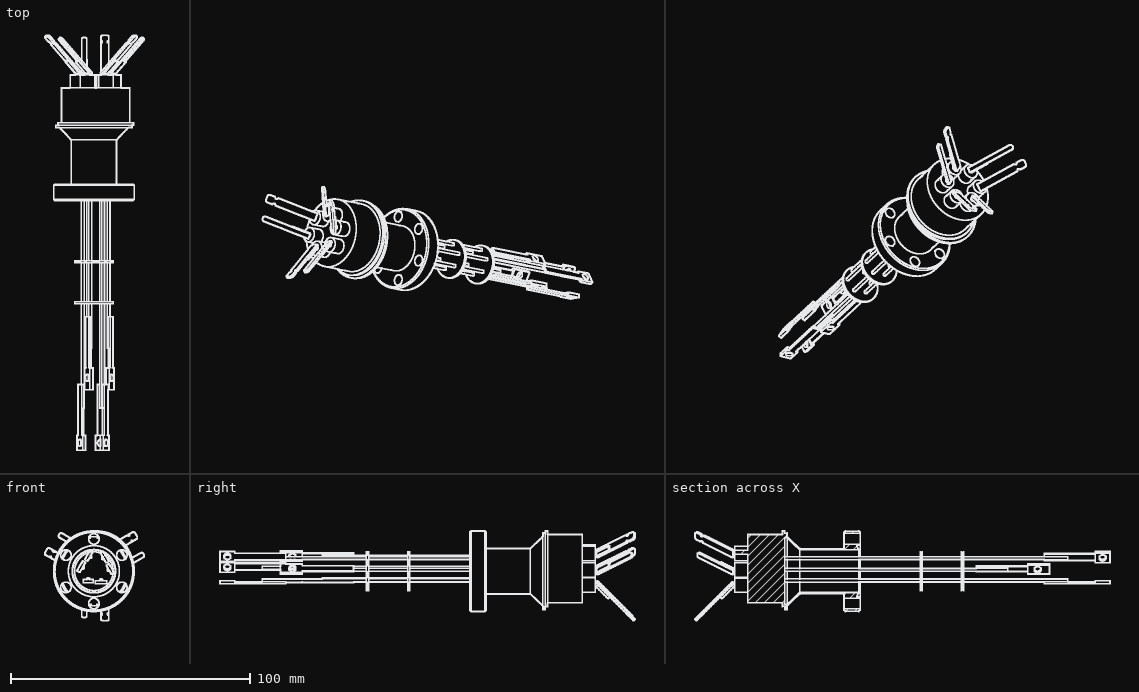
import cadquery as cq
import math


flange_radius = 16.9
flange_thickness = 6.95
flange_chamfer = 0.6
bolt_count = 6
bolt_circle_radius = 13.5
bolt_hole_diameter = 4.4
seal_recess_radius = 10.7
seal_recess_depth = 1.5
knife_edge_radius = 9.1
knife_edge_depth = 0.6

tube_radius = 9.55
bore_radius = 8.9
tube_end_y = 25.4
cone_end_y = 30.6
cone_end_radius = 14.5
rim_radius = 16.05
body_rim_radius = 15.85
rim_thickness = 1.0
wall_thickness = tube_radius - bore_radius
body_front_y = cone_end_y + rim_thickness

body_offset_x = 0.75
body_offset_z = 1.05
body_radius = 14.35
body_back_y = 47.2

wire_count = 6
insulator_circle_radius = 7.65
insulator_radius = 3.05
insulator_back_y = 52.6
rear_twist = 4.0
stub_radius = 0.85
stub_end_y = 53.4

pair_count = 3
first_pair_turn = 180
tab_thickness = 0.9
tab_tip_y = 69.22
tab_tip_height = 21.78
tab_bend = 45.0
tab_corner_radius = 1.0
wide_tab_width = 3.4
wide_tab_length = 22.3
wide_tab_offset = -3.85
narrow_tab_width = 2.2
narrow_tab_offset = 4.75
narrow_tab_length = 21.0
narrow_tab_inset = 0.4
barrel_length = 7.2
notch_radius = 0.65
notch_from_tip = 3.9

wire_circle_radius = 5.43
wire_radius = 0.65
wire_twist = 5.0
paddle_thickness = 0.9
paddle_lift = 0.55
head_thickness = 1.4
paddle_hole_diameter = 2.9

long_wire_end_y = -86.8
long_paddle_start_y = -76.8
long_paddle_length = 27.65
long_strip_width = 3.2
long_head_width = 4.8
long_head_length = 6.3
long_hole_from_tip = long_head_length / 2

short_wire_end_y = -61.7
short_paddle_start_y = -48.5
short_paddle_length = 30.6
short_strip_width = 2.4
short_head_width = 4.2
short_head_length = 9.2
short_hole_from_tip = 5.0

spacer_radius = 8.1
spacer_thickness = 0.9
spacer_positions_y = (-25.5, -42.7)


def cylinder_y(radius, start_y, end_y, x=0.0, z=0.0):
    """Cylinder parallel to Y."""
    return cq.Workplane(cq.Solid.makeCylinder(
        radius, end_y - start_y, cq.Vector(x, start_y, z), cq.Vector(0, 1, 0)))


def cone_y(start_radius, end_radius, start_y, end_y):
    """Truncated cone on the Y axis."""
    return cq.Workplane(cq.Solid.makeCone(
        start_radius, end_radius, end_y - start_y, cq.Vector(0, start_y, 0), cq.Vector(0, 1, 0)))


def box_y(width, start_y, end_y, bottom_z, top_z, x):
    """Box centred on x, given by its ranges along Y and Z."""
    size_y = end_y - start_y
    size_z = top_z - bottom_z
    return cq.Workplane("XY").box(width, size_y, size_z).translate(
        (x, start_y + size_y / 2, bottom_z + size_z / 2))


def polar(radius, angle):
    """X and Z of a point at an angle measured from +X toward +Z."""
    turn = math.radians(angle)
    return radius * math.cos(turn), radius * math.sin(turn)


def make_seal_recess():
    """Round recess minus the conical knife edge that stands around the bore."""
    recess = cylinder_y(seal_recess_radius, 0, seal_recess_depth)
    knife = cone_y(knife_edge_radius, seal_recess_radius, knife_edge_depth, seal_recess_depth)
    return recess.cut(knife.cut(cylinder_y(bore_radius, 0, seal_recess_depth)))


def make_shell():
    """Bolted flange, tube, flared cone and the front weld rim, all hollow."""
    flange = cylinder_y(flange_radius, 0, flange_thickness).edges().chamfer(flange_chamfer)
    tube = cylinder_y(tube_radius, 0, tube_end_y)
    cone = cone_y(tube_radius, cone_end_radius, tube_end_y, cone_end_y)
    rim = cylinder_y(rim_radius, cone_end_y, body_front_y)
    shell = flange.union(tube).union(cone).union(rim)

    shell = shell.cut(cylinder_y(bore_radius, 0, tube_end_y))
    flare_radius = cone_end_radius - wall_thickness
    shell = shell.cut(cone_y(bore_radius, flare_radius, tube_end_y, cone_end_y))
    shell = shell.cut(cylinder_y(flare_radius, cone_end_y, body_front_y))
    shell = shell.cut(make_seal_recess())
    for index in range(bolt_count):
        x, z = polar(bolt_circle_radius, 90 + index * 360 / bolt_count)
        shell = shell.cut(cylinder_y(bolt_hole_diameter / 2, 0, flange_thickness, x, z))
    return shell


def make_spacers():
    """Thin discs on the flange axis."""
    front, back = [
        cylinder_y(spacer_radius, y - spacer_thickness / 2, y + spacer_thickness / 2)
        for y in spacer_positions_y
    ]
    return front.union(back)


def make_body():
    """Closed body with its own weld rim, insulators and stubs, centred on the Y axis."""
    body = cylinder_y(body_radius, body_front_y, body_back_y)
    body = body.union(cylinder_y(body_rim_radius, body_front_y, body_front_y + rim_thickness))
    for index in range(wire_count):
        x, z = polar(insulator_circle_radius, index * 360 / wire_count - rear_twist)
        body = body.union(cylinder_y(insulator_radius, body_back_y, insulator_back_y, x, z))
        body = body.union(cylinder_y(stub_radius, insulator_back_y, stub_end_y, x, z))
    return body


def make_tab(width, length, offset, inset, stub_angle, notched):
    """Tab with its crimped wire end, laid flat along +Y from the origin, then bent toward +Z."""
    tab = cq.Workplane("XY").box(width, length, tab_thickness, centered=(True, False, False))
    tab = tab.edges("|Z and >Y").fillet(tab_corner_radius)
    if notched:
        notch_y = length - notch_from_tip
        notches = cq.Workplane("XY").pushPoints([(-width / 2, notch_y), (width / 2, notch_y)])
        tab = tab.cut(notches.circle(notch_radius).extrude(tab_thickness))

    bend = math.radians(tab_bend)
    root_y = tab_tip_y - wide_tab_length * math.cos(bend)
    outer_drop = tab_thickness * math.cos(bend)
    root_z = tab_tip_height - inset - outer_drop - wide_tab_length * math.sin(bend)
    tab = tab.rotate((0, 0, 0), (1, 0, 0), tab_bend)
    tab = tab.translate((offset, root_y, root_z))

    stub_x, stub_z = polar(insulator_circle_radius, stub_angle)
    direction = cq.Vector(0, math.cos(bend), math.sin(bend))
    barrel = cq.Solid.makeCylinder(
        stub_radius, barrel_length, cq.Vector(stub_x, stub_end_y, stub_z), direction)
    knuckle = cq.Workplane("XY").sphere(stub_radius).translate((stub_x, stub_end_y, stub_z))
    return tab.union(cq.Workplane(barrel)).union(knuckle)


def make_wire(angle, end_y, start_y, length, strip_width, head_width, head_length, hole_from_tip):
    """Straight wire with a flat paddle on its outward side, ending in a drilled head."""
    x, z = polar(wire_circle_radius, angle)
    strip_z = z + paddle_lift
    tip_y = start_y - length
    head_z = strip_z + paddle_thickness - head_thickness
    wire = cylinder_y(wire_radius, end_y, body_front_y, x, z)
    wire = wire.union(box_y(strip_width, tip_y, start_y, strip_z, strip_z + paddle_thickness, x))
    wire = wire.union(box_y(head_width, tip_y, tip_y + head_length, head_z, head_z + head_thickness, x))
    hole = cq.Workplane("XY").circle(paddle_hole_diameter / 2).extrude(head_thickness)
    return wire.cut(hole.translate((x, tip_y + hole_from_tip, head_z)))


def make_pair():
    """One thermocouple pair whose outward direction is +Z, relative to the body axis."""
    half_step = 180 / wire_count
    left_angle = 90 + half_step
    right_angle = 90 - half_step
    wide_tab = make_tab(
        width=wide_tab_width, length=wide_tab_length, offset=wide_tab_offset,
        inset=0, stub_angle=left_angle - rear_twist, notched=True)
    narrow_tab = make_tab(
        width=narrow_tab_width, length=narrow_tab_length, offset=narrow_tab_offset,
        inset=narrow_tab_inset, stub_angle=right_angle - rear_twist, notched=False)
    long_wire = make_wire(
        angle=left_angle - wire_twist, end_y=long_wire_end_y,
        start_y=long_paddle_start_y, length=long_paddle_length, strip_width=long_strip_width,
        head_width=long_head_width, head_length=long_head_length, hole_from_tip=long_hole_from_tip)
    short_wire = make_wire(
        angle=right_angle - wire_twist, end_y=short_wire_end_y,
        start_y=short_paddle_start_y, length=short_paddle_length, strip_width=short_strip_width,
        head_width=short_head_width, head_length=short_head_length, hole_from_tip=short_hole_from_tip)
    return wide_tab.union(narrow_tab).union(long_wire).union(short_wire)


def make_core():
    """Body with all wire pairs, moved to its place off the flange axis."""
    core = make_body()
    pair = make_pair()
    for index in range(pair_count):
        turn = first_pair_turn + index * 360 / pair_count
        core = core.union(pair.rotate((0, 0, 0), (0, 1, 0), turn))
    return core.translate((body_offset_x, 0, body_offset_z))


result = make_shell().union(make_core()).union(make_spacers())